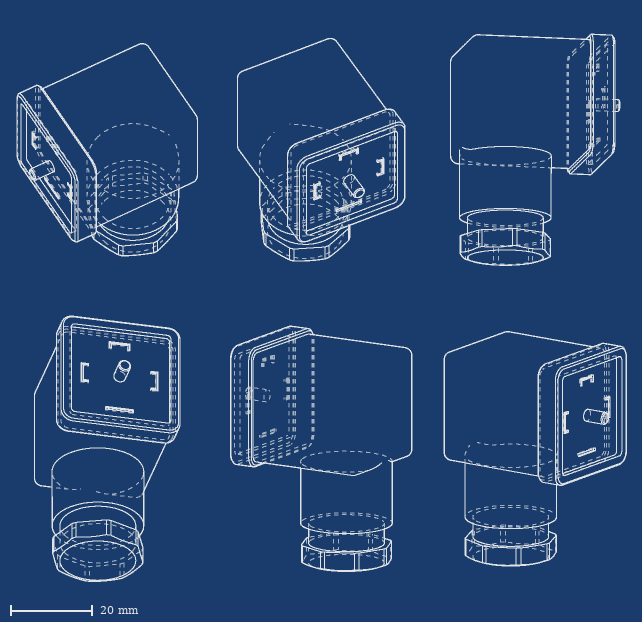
import cadquery as cq

flange_size = 30.0
flange_depth = 6.0
flange_corner_radius = 3.0
flange_chamfer = 0.5
total_height = 54.25
axis_z = total_height - flange_size / 2

body_size = 27.5
body_back_y = 35.7
body_edge_radius = 2.0

recess_size = 25.1
recess_depth = 1.5
recess_corner_radius = 1.0

slot_depth = 0.5
bracket_width = 5.2
bracket_leg = 1.75
bracket_wall = 0.5
bracket_outer_offset = 9.65
bracket_angles = (-90, 0, 90)
ground_slot_width = 6.95
ground_slot_height = 0.7
ground_slot_offset = 9.4

pin_diameter = 3.0
pin_projection = 4.0
pin_chamfer = 0.25

gland_diameter = 22.5
gland_y = body_back_y - gland_diameter / 2
sleeve_bottom_z = 10.0
sleeve_top_z = axis_z - body_size / 2 + body_edge_radius
neck_diameter = 18.6
nut_height = 5.0
nut_sides = 8
nut_across_flats = 21.2
nut_chamfer_height = 0.75
nut_end_diameter = neck_diameter


def rounded_square(size, start_y, end_y, radius):
    """Square block on the pin axis with rounded edges along Y."""
    return (
        cq.Workplane("XZ", origin=(0, start_y, axis_z))
        .rect(size, size)
        .extrude(start_y - end_y)
        .edges("|Y")
        .fillet(radius)
    )


def gland_cylinder(diameter, bottom_z, top_z):
    """Upright cylinder on the gland axis."""
    return cq.Workplane("XY", origin=(0, gland_y, bottom_z)).circle(diameter / 2).extrude(top_z - bottom_z)


def make_housing():
    flange = rounded_square(flange_size, 0, flange_depth, flange_corner_radius)
    flange = flange.faces("<Y or >Y").chamfer(flange_chamfer)
    body = rounded_square(body_size, flange_depth, body_back_y, body_edge_radius)
    body = body.faces(">Y").edges().fillet(body_edge_radius)
    recess = rounded_square(recess_size, 0, recess_depth, recess_corner_radius)
    return flange.union(body).cut(recess)


def make_contact_slots():
    """Three U-shaped slots around the pin and a straight ground slot below it."""
    floor = cq.Workplane("XZ", origin=(0, recess_depth, axis_z))
    leg_end = bracket_outer_offset - bracket_leg
    inner_width = bracket_width - 2 * bracket_wall
    inner_leg = bracket_leg - bracket_wall
    outer = floor.center(0, leg_end + bracket_leg / 2).rect(bracket_width, bracket_leg).extrude(-slot_depth)
    inner = floor.center(0, leg_end + inner_leg / 2).rect(inner_width, inner_leg).extrude(-slot_depth)
    bracket = outer.cut(inner)

    slots = (
        floor.center(0, -ground_slot_offset)
        .rect(ground_slot_width, ground_slot_height)
        .extrude(-slot_depth)
    )
    for angle in bracket_angles:
        slots = slots.add(bracket.rotate((0, 0, axis_z), (0, 1, axis_z), angle))
    return slots.combine()


def make_pin():
    return (
        cq.Workplane("XZ", origin=(0, recess_depth, axis_z))
        .circle(pin_diameter / 2)
        .extrude(recess_depth + pin_projection)
        .faces("<Y")
        .chamfer(pin_chamfer)
    )


def make_nut():
    """Octagonal nut with turned-down corners and a conical lower end."""
    octagon = (
        cq.Workplane("XY", origin=(0, gland_y, 0))
        .polygon(nut_sides, nut_across_flats, circumscribed=True)
        .extrude(nut_height)
        .rotate((0, gland_y, 0), (0, gland_y, 1), 180 / nut_sides)
    )
    gland_radius = gland_diameter / 2
    turned_blank = (
        cq.Workplane("XZ", origin=(0, gland_y, 0))
        .moveTo(0, 0)
        .lineTo(nut_end_diameter / 2, 0)
        .lineTo(gland_radius, nut_chamfer_height)
        .lineTo(gland_radius, nut_height)
        .lineTo(0, nut_height)
        .close()
        .revolve(360, (0, 0), (0, 1))
    )
    return octagon.intersect(turned_blank)


sleeve = gland_cylinder(gland_diameter, sleeve_bottom_z, sleeve_top_z)
neck = gland_cylinder(neck_diameter, nut_height, sleeve_bottom_z)

result = (
    make_housing()
    .cut(make_contact_slots())
    .union(make_pin())
    .union(sleeve)
    .union(neck)
    .union(make_nut())
)